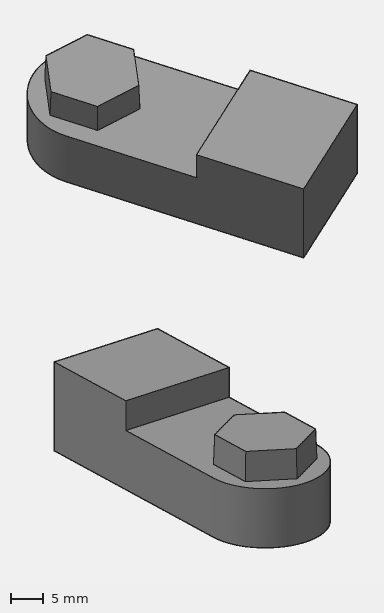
import cadquery as cq

length = 50
width = 20
arm_height = 10
end_radius = width / 2

block_length = 18
total_height = 15
raised_height = total_height - arm_height

hex_corner_diameter = 16
hex_draft_angle = 2


def make_arm():
    straight_length = length - end_radius
    round_end = cq.Workplane("XY").circle(end_radius).extrude(arm_height)
    bar = cq.Workplane("XY").box(straight_length, width, arm_height, centered=(False, True, False))
    return bar.union(round_end)


def make_block():
    block_start = length - end_radius - block_length
    return (
        cq.Workplane("XY")
        .box(block_length, width, total_height, centered=(False, True, False))
        .translate((block_start, 0, 0))
    )


def make_hex_boss():
    return (
        cq.Workplane("XY")
        .workplane(offset=arm_height)
        .polygon(6, hex_corner_diameter)
        .extrude(raised_height, taper=hex_draft_angle)
    )


result = make_arm().union(make_block()).union(make_hex_boss()).clean()